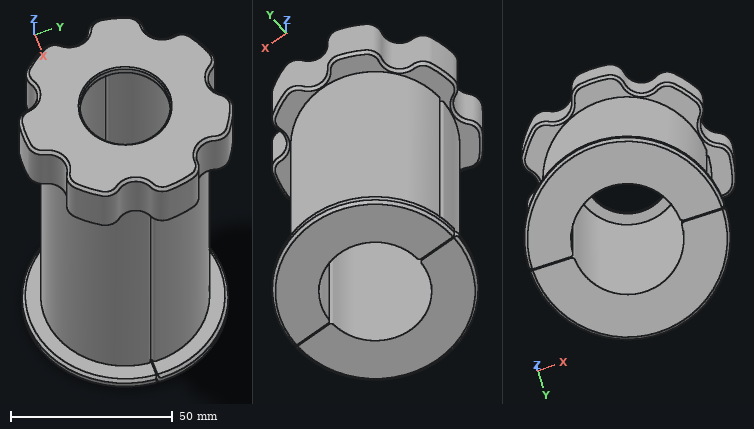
import cadquery as cq

total_height = 111.5
flange_height = 4.0
knob_height = 18.5
knob_top_thickness = 2.5
knob_base = total_height - knob_height
spool_height = total_height - knob_top_thickness

flange_radius = 32.0
tube_radius = 52.5 / 2
spigot_radius = 48.53 / 2
spool_bore_radius = 35.0 / 2
flange_chamfer = 1.0
seam_fillet = 1.0
seam_gap = 0.4

lobe_count = 7
knob_radius = 33.5
knob_bore_radius = 28.0 / 2
scallop_radius = 6.0
lobe_fillet = 5.0
knob_chamfer = 1.0
bore_chamfer = 0.5
bore_chamfer_angle = 90.0


def make_spool_half():
    """Flange, tube and knob spigot on the +Y side, with rounded edges along the lengthwise seam."""
    rim_inset = flange_radius - flange_chamfer
    profile = (
        cq.Workplane("XZ")
        .moveTo(spool_bore_radius, 0)
        .lineTo(rim_inset, 0)
        .lineTo(flange_radius, flange_chamfer)
        .lineTo(flange_radius, flange_height - flange_chamfer)
        .lineTo(rim_inset, flange_height)
        .lineTo(tube_radius, flange_height)
        .lineTo(tube_radius, knob_base)
        .lineTo(spigot_radius, knob_base)
        .lineTo(spigot_radius, spool_height)
        .lineTo(spool_bore_radius, spool_height)
        .close()
    )
    half = profile.revolve(180, (0, 0, 0), (0, 1, 0))
    seam_clearance = cq.Workplane("XY").box(
        2 * flange_radius, seam_gap, spool_height, centered=(True, True, False)
    )
    half = half.cut(seam_clearance)
    return half.edges("|Z").fillet(seam_fillet)


def make_knob():
    """Scalloped hand knob, with one lobe pointing to -Y and a recess for the spigot."""
    knob = cq.Workplane("XY", origin=(0, 0, knob_base)).circle(knob_radius).extrude(knob_height)
    scallops = (
        cq.Workplane("XY", origin=(0, 0, knob_base))
        .polarArray(knob_radius, 90, 360, lobe_count)
        .circle(scallop_radius)
        .extrude(knob_height)
    )
    knob = knob.cut(scallops).edges("|Z").fillet(lobe_fillet)
    knob = knob.faces("<Z or >Z").chamfer(knob_chamfer)
    knob = knob.faces(">Z").workplane(origin=(0, 0, 0)).cskHole(
        2 * knob_bore_radius, 2 * (knob_bore_radius + bore_chamfer), bore_chamfer_angle
    )
    recess = (
        cq.Workplane("XY", origin=(0, 0, knob_base))
        .circle(spigot_radius)
        .extrude(knob_height - knob_top_thickness)
    )
    return knob.cut(recess)


first_half = make_spool_half()
second_half = first_half.rotate((0, 0, 0), (0, 0, 1), 180)
knob = make_knob()
result = cq.Compound.makeCompound([first_half.val(), second_half.val(), knob.val()])